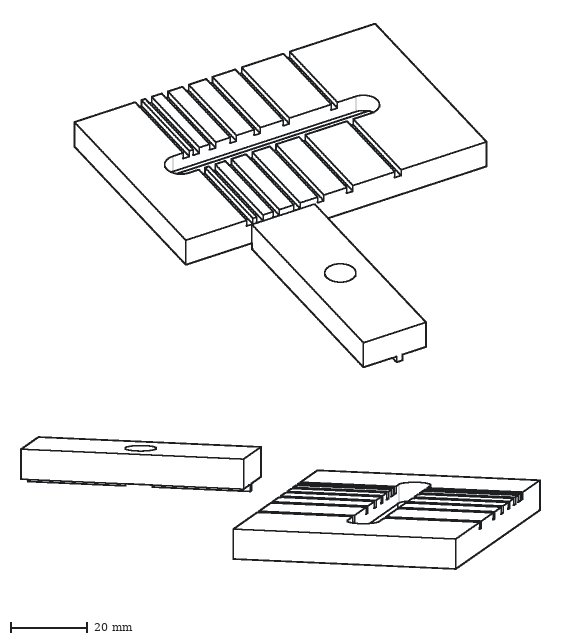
import cadquery as cq

total_length = 132.0
total_height = 16.0
block_thickness = total_height / 2
block_width = 60.0

plate_depth = 90.0
slot_width = 8.5
slot_length = 63.1
slot_center_y = -2.5
recess_width = 13.0
recess_end_margin = 3.4
recess_depth = 3.0
groove_width = 1.8
groove_depth = 1.8
groove_centers_y = [18.5, 4.1, -4.6, -11.7, -18.0, -22.8, -25.9]

bar_depth = 18.7
bar_center_y = -22.5
bar_hole_diameter = 8.2
bar_hole_offset_y = 0.4
ridge_width = 1.8
ridge_height = 1.8
ridge_offset_y = 1.5

plate_center_x = block_width / 2
bar_center_x = total_length - block_width / 2


def box_on(center_x, center_y, bottom_z, size_x, size_y, size_z):
    """Box centred in X and Y that stands on bottom_z."""
    return (
        cq.Workplane("XY")
        .box(size_x, size_y, size_z, centered=(True, True, False))
        .translate((center_x, center_y, bottom_z))
    )


def make_plate():
    """Plate with a through slot, a recess below it and cross grooves in its top."""
    plate = box_on(plate_center_x, 0, 0, block_width, plate_depth, block_thickness)
    slot = (
        cq.Workplane("XY")
        .center(plate_center_x, slot_center_y)
        .slot2D(slot_length, slot_width, 90)
        .extrude(block_thickness)
    )
    recess = box_on(
        plate_center_x, slot_center_y, 0,
        recess_width, slot_length + 2 * recess_end_margin, recess_depth,
    )
    plate = plate.cut(slot).cut(recess)
    groove_floor_z = block_thickness - groove_depth
    for groove_y in groove_centers_y:
        groove = box_on(
            plate_center_x, groove_y, groove_floor_z, block_width, groove_width, groove_depth
        )
        plate = plate.cut(groove)
    return plate


def make_clamp_bar():
    """Bar with a locating ridge underneath and a hole through both."""
    bar = box_on(
        bar_center_x, bar_center_y, block_thickness, block_width, bar_depth, block_thickness
    )
    ridge_bottom_z = block_thickness - ridge_height
    ridge = box_on(
        bar_center_x, bar_center_y + ridge_offset_y, ridge_bottom_z,
        block_width, ridge_width, ridge_height,
    )
    hole = (
        cq.Workplane("XY", origin=(bar_center_x, bar_center_y + bar_hole_offset_y, ridge_bottom_z))
        .circle(bar_hole_diameter / 2)
        .extrude(ridge_height + block_thickness)
    )
    return bar.union(ridge).cut(hole)


plate = make_plate()
clamp_bar = make_clamp_bar()

result = cq.Compound.makeCompound([plate.val(), clamp_bar.val()])